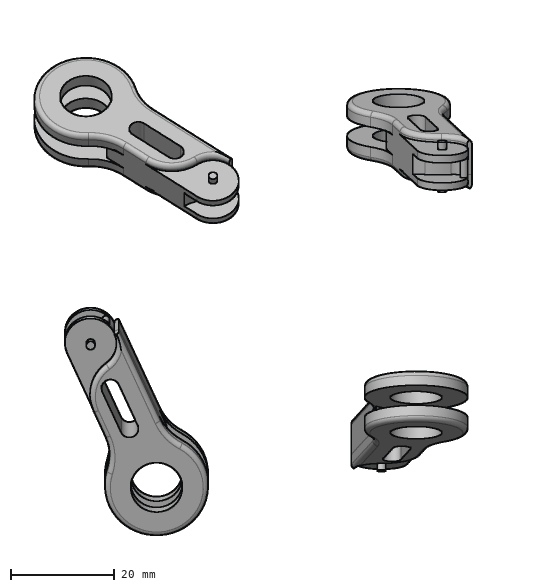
import cadquery as cq
import math

ring_radius = 10.0
ring_hole_diameter = 10.0
ring_clearance_radius = 10.5

core_half_height = 2.0
fork_top = 3.5
cover_top = 5.0
edge_fillet = 1.0

arm_top_y = 6.0
arm_bottom_y = -5.0
neck_radius = 10.0
slot_start_x = 13.0
slot_end_x = 22.0
slot_width = 3.5

pivot_x = 31.5
fork_radius = 5.0
pivot_pin_diameter = 1.7
sweep_radius = 8.0

seat_x = 33.1
seat_y = 1.9
seat_radius = 2.4
hook_wall_radius = 9.0
hook_wall_turn = math.radians(32)
hook_tip_diameter = 1.5

blank_reach = 20.0


def arc_point(center, radius, angle):
    return (center[0] + radius * math.cos(angle), center[1] + radius * math.sin(angle))


def between(start, end, fraction):
    return tuple(a + (b - a) * fraction for a, b in zip(start, end))


def neck_points(side_y):
    """Ring tangency, middle and arm tangency of the neck arc that ends on the line y = side_y."""
    side = math.copysign(1, side_y)
    center_y = side_y + side * neck_radius
    center_x = math.sqrt((ring_radius + neck_radius) ** 2 - center_y ** 2)
    center = (center_x, center_y)
    on_ring = between((0, 0), center, ring_radius / (ring_radius + neck_radius))
    start_angle = math.atan2(-center_y, -center_x)
    middle = arc_point(center, neck_radius, (start_angle - side * math.pi / 2) / 2)
    return on_ring, middle, (center_x, side_y)


def start_at_ring(side_y):
    """Outline from the ring's far left, around the ring and along the neck to the arm."""
    on_ring, neck_middle, on_arm = neck_points(side_y)
    half_angle = (math.atan2(on_ring[1], on_ring[0]) + math.copysign(math.pi, side_y)) / 2
    return (
        cq.Workplane("XY", origin=(0, 0, core_half_height))
        .moveTo(-ring_radius, 0)
        .threePointArc(arc_point((0, 0), ring_radius, half_angle), on_ring)
        .threePointArc(neck_middle, on_arm)
    )


def extrude_with_round(outline, side_y):
    """Extrude a cover blank and round the top edge of its tangent side."""
    arm_edge = cq.selectors.NearestToPointSelector(((slot_start_x + slot_end_x) / 2, side_y, cover_top))
    blank = outline.close().extrude(cover_top - core_half_height)
    return blank.faces(">Z").edges(arm_edge).fillet(edge_fillet)


def upper_side_blank():
    outline = (
        start_at_ring(arm_top_y)
        .lineTo(pivot_x, arm_top_y)
        .lineTo(pivot_x, -blank_reach)
        .lineTo(-ring_radius, -blank_reach)
    )
    return extrude_with_round(outline, arm_top_y)


def lower_side_blank():
    """Lower cover side: along the arm, then an S-curve around the fork recess."""
    sweep_y = arm_bottom_y + sweep_radius
    sweep_x = pivot_x - math.sqrt((sweep_radius + fork_radius) ** 2 - sweep_y ** 2)
    sweep_center = (sweep_x, sweep_y)
    turn = math.atan2(-sweep_y, pivot_x - sweep_x)
    sweep_end = arc_point(sweep_center, sweep_radius, turn)
    outline = (
        start_at_ring(arm_bottom_y)
        .lineTo(sweep_x, arm_bottom_y)
        .threePointArc(arc_point(sweep_center, sweep_radius, (turn - math.pi / 2) / 2), sweep_end)
        .threePointArc(
            arc_point((pivot_x, 0), fork_radius, (turn + math.pi + math.pi / 2) / 2),
            (pivot_x, fork_radius),
        )
        .lineTo(pivot_x, blank_reach)
        .lineTo(-ring_radius, blank_reach)
    )
    return extrude_with_round(outline, arm_bottom_y)


def fork_plate():
    plate_start_x = neck_points(arm_bottom_y)[2][0]
    return (
        cq.Workplane("XY", origin=(0, 0, core_half_height))
        .moveTo(plate_start_x, -fork_radius)
        .lineTo(pivot_x, -fork_radius)
        .threePointArc((pivot_x + fork_radius, 0), (pivot_x, fork_radius))
        .lineTo(plate_start_x, fork_radius)
        .close()
        .extrude(fork_top - core_half_height)
    )


def pivot_pin():
    return (
        cq.Workplane("XY", origin=(pivot_x, 0, core_half_height))
        .circle(pivot_pin_diameter / 2)
        .extrude(cover_top - core_half_height)
    )


def core():
    """Middle layer: hollow towards the ring, ending in a hook between the fork plates."""
    bulge_center = (seat_x - seat_radius - hook_wall_radius, seat_y)
    bulge_start = arc_point(bulge_center, hook_wall_radius, -hook_wall_turn)
    hollow_center = arc_point(bulge_center, 2 * hook_wall_radius, -hook_wall_turn)
    hollow_turn = math.asin((arm_bottom_y - hollow_center[1]) / hook_wall_radius)
    hollow_start = arc_point(hollow_center, hook_wall_radius, math.pi - hollow_turn)
    hollow_middle_angle = math.pi - (hollow_turn + hook_wall_turn) / 2

    tip_angle = math.acos((seat_x - pivot_x) / fork_radius)
    outline = (
        cq.Workplane("XY", origin=(0, 0, -core_half_height))
        .moveTo(0, arm_bottom_y)
        .lineTo(*hollow_start)
        .threePointArc(arc_point(hollow_center, hook_wall_radius, hollow_middle_angle), bulge_start)
        .threePointArc(
            arc_point(bulge_center, hook_wall_radius, -hook_wall_turn / 2),
            (seat_x - seat_radius, seat_y),
        )
        .threePointArc(
            arc_point((seat_x, seat_y), seat_radius, 3 * math.pi / 4),
            (seat_x, seat_y + seat_radius),
        )
        .lineTo(*arc_point((pivot_x, 0), fork_radius, tip_angle))
        .threePointArc(
            arc_point((pivot_x, 0), fork_radius, (tip_angle + math.pi / 2) / 2),
            (pivot_x, fork_radius),
        )
        .lineTo(pivot_x, arm_top_y)
        .lineTo(0, arm_top_y)
        .close()
    )
    core_height = 2 * core_half_height
    ring_clearance = (
        cq.Workplane("XY", origin=(0, 0, -core_half_height))
        .circle(ring_clearance_radius)
        .extrude(core_height)
    )
    tip_radius = hook_tip_diameter / 2
    tip_y = math.sqrt((fork_radius - tip_radius) ** 2 - (seat_x - pivot_x) ** 2)
    tip = (
        cq.Workplane("XY", origin=(seat_x, tip_y, -core_half_height))
        .circle(tip_radius)
        .extrude(core_height)
    )
    return outline.extrude(core_height).cut(ring_clearance).union(tip)


def through_cuts():
    slot_length = slot_end_x - slot_start_x + slot_width
    full_height = 2 * cover_top
    slot = (
        cq.Workplane("XY", origin=((slot_start_x + slot_end_x) / 2, 0, -cover_top))
        .slot2D(slot_length, slot_width)
        .extrude(full_height)
    )
    ring_hole = (
        cq.Workplane("XY", origin=(0, 0, -cover_top))
        .circle(ring_hole_diameter / 2)
        .extrude(full_height)
    )
    return slot.union(ring_hole)


cover = upper_side_blank().intersect(lower_side_blank())
upper_half = cover.union(fork_plate()).union(pivot_pin())
lower_half = upper_half.mirror("XY")
result = core().union(upper_half).union(lower_half).cut(through_cuts())